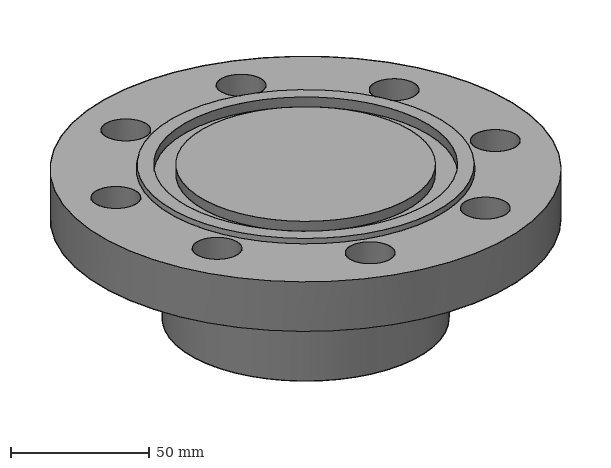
import cadquery as cq

total_height = 62.0
raised_face_height = 2.0
flange_thickness = 20.0
neck_length = total_height - raised_face_height - flange_thickness

flange_diameter = 185.0
raised_face_diameter = 122.0
raised_face_taper = 10.0
neck_diameter = 104.0
neck_fillet_radius = 6.0

groove_outer_diameter = 110.0
groove_inner_diameter = 94.0
groove_depth = 4.0

bolt_count = 8
bolt_hole_diameter = 18.0
bolt_circle_diameter = 145.0
bolt_spacing_angle = 360.0 / bolt_count
first_bolt_angle = bolt_spacing_angle / 2

sealing_face_z = flange_thickness + raised_face_height


def make_flange_and_neck():
    """Flange disc with the solid neck below, blended by a fillet at the neck root."""
    disc = cq.Workplane("XY").circle(flange_diameter / 2).extrude(flange_thickness)
    neck = cq.Workplane("XY").circle(neck_diameter / 2).extrude(-neck_length)
    smallest_circle = cq.selectors.RadiusNthSelector(0)
    body = disc.union(neck)
    return body.faces("<Z[1]").edges(smallest_circle).fillet(neck_fillet_radius)


def make_raised_face():
    """Slightly conical raised face, extruded down from the sealing face to the disc."""
    return (
        cq.Workplane("XY")
        .workplane(offset=sealing_face_z)
        .circle(raised_face_diameter / 2)
        .extrude(-raised_face_height, taper=-raised_face_taper)
    )


def make_ring_groove():
    """Ring cut down from the raised face, leaving a round island in the middle."""
    return (
        cq.Workplane("XY")
        .workplane(offset=sealing_face_z)
        .circle(groove_outer_diameter / 2)
        .circle(groove_inner_diameter / 2)
        .extrude(-groove_depth)
    )


def make_bolt_holes():
    """Cylinders for the through holes, evenly spaced on the bolt circle."""
    return (
        cq.Workplane("XY")
        .polarArray(bolt_circle_diameter / 2, first_bolt_angle, 360, bolt_count)
        .circle(bolt_hole_diameter / 2)
        .extrude(flange_thickness)
    )


result = (
    make_flange_and_neck()
    .union(make_raised_face())
    .cut(make_ring_groove())
    .cut(make_bolt_holes())
)